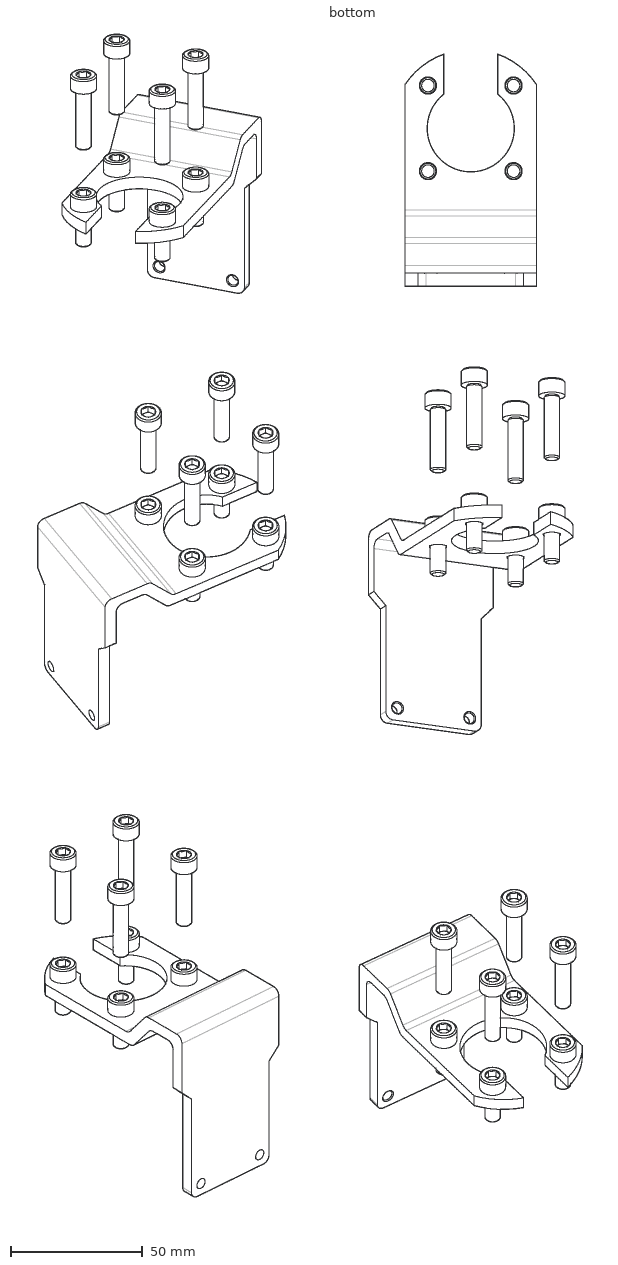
import cadquery as cq
import math

bracket_width = 50.0
thickness = 5.0
bracket_height = 75.0
bend_radius = 3.0

shelf_length = 20.0
step_run = 10.0
step_drop = 12.0
plate_top = bracket_height - step_drop

opening_distance = 60.0
opening_diameter = 33.0
nose_radius = 30.0
slot_width = 20.3

tail_width = 40.0
shoulder_height = 50.0
shoulder_chamfer = (bracket_width - tail_width) / 2
tail_corner_radius = 3.0

mount_hole_diameter = 4.2
mount_hole_mouth = 5.0
mount_hole_mouth_angle = 90
mount_hole_height = 5.0
mount_hole_pitch = 30.2

bolt_circle_radius = 23.0
screw_pitch = bolt_circle_radius * math.sqrt(2)
clearance_diameter = 6.5

head_diameter = 10.0
head_height = 6.0
head_chamfer = 0.6
shank_diameter = 6.0
neck_diameter = 5.0
neck_length = 0.7
tip_chamfer = 0.6
socket_sides = 6
socket_width = 5.0
socket_mouth = 5.7
socket_depth = 3.0
socket_cone_angle = 120
short_shank = 16.0
long_shank = 25.0

fitted_seat = plate_top
overall_height = 119.0
raised_seat = overall_height - head_height

back = opening_distance
front = -nose_radius
screw_points = [
    (x * screw_pitch / 2, y * screw_pitch / 2)
    for x in (-1, 1)
    for y in (-1, 1)
]


def bent_sheet():
    """Constant-thickness strip: vertical wall, shelf, sloping step and clamp plate."""
    shelf_end = back - shelf_length
    step_end = shelf_end - step_run
    corner_shift = thickness * math.tan(math.atan2(step_drop, step_run) / 2)
    under_shelf = bracket_height - thickness
    under_plate = plate_top - thickness
    wall_front = back - thickness
    outer_bends = [
        (back, bracket_height),
        (shelf_end, bracket_height),
        (step_end, plate_top),
    ]
    inner_bends = [
        (step_end + corner_shift, under_plate),
        (shelf_end + corner_shift, under_shelf),
        (wall_front, under_shelf),
    ]
    outline = [
        (back, 0),
        *outer_bends,
        (front, plate_top),
        (front, under_plate),
        *inner_bends,
        (wall_front, 0),
    ]
    sheet = (
        cq.Workplane("YZ")
        .polyline(outline)
        .close()
        .extrude(bracket_width / 2, both=True)
    )
    bend_edges = cq.Workplane("XY")
    for y, z in outer_bends + inner_bends:
        bend_edges.add(sheet.edges(cq.selectors.NearestToPointSelector((0, y, z))).vals())
    return sheet.newObject(bend_edges.vals()).fillet(bend_radius)


def plan_outline():
    """Upright prism that rounds the nose of the clamp plate."""
    half_width = bracket_width / 2
    arc_start = -math.sqrt(nose_radius**2 - half_width**2)
    return (
        cq.Workplane("XY")
        .moveTo(-half_width, back)
        .lineTo(-half_width, arc_start)
        .threePointArc((0, front), (half_width, arc_start))
        .lineTo(half_width, back)
        .close()
        .extrude(bracket_height)
    )


def wall_outline():
    """Prism along Y that narrows the wall to its tail, with rounded lower corners."""
    half_width = bracket_width / 2
    half_tail = tail_width / 2
    tail_top = shoulder_height - shoulder_chamfer
    return (
        cq.Workplane("XZ", origin=(0, back, 0))
        .polyline([
            (-half_tail, 0),
            (-half_tail, tail_top),
            (-half_width, shoulder_height),
            (-half_width, bracket_height),
            (half_width, bracket_height),
            (half_width, shoulder_height),
            (half_tail, tail_top),
            (half_tail, 0),
        ])
        .close()
        .extrude(back - front)
        .edges("|Y and <Z")
        .fillet(tail_corner_radius)
    )


def clamp_cutout():
    """Round opening with a slot that leads out through the nose."""
    opening = cq.Workplane("XY").circle(opening_diameter / 2).extrude(bracket_height)
    slot = (
        cq.Workplane("XY")
        .center(0, front / 2)
        .rect(slot_width, nose_radius)
        .extrude(bracket_height)
    )
    return opening.union(slot)


def make_bracket():
    body = bent_sheet().intersect(plan_outline()).intersect(wall_outline())
    body = body.cut(clamp_cutout())
    clearance_holes = (
        cq.Workplane("XY", origin=(0, 0, plate_top))
        .pushPoints(screw_points)
        .circle(clearance_diameter / 2)
        .extrude(-thickness)
    )
    body = body.cut(clearance_holes)
    hole_offset = mount_hole_pitch / 2
    return (
        cq.Workplane("XZ", origin=(0, back - thickness, 0))
        .add(body)
        .pushPoints([(-hole_offset, mount_hole_height), (hole_offset, mount_hole_height)])
        .cskHole(mount_hole_diameter, mount_hole_mouth, mount_hole_mouth_angle)
    )


def hex_socket():
    """Hexagonal recess with a conical bottom and a chamfered mouth."""
    half_side_angle = 180 / socket_sides
    corner_diameter = socket_width / math.cos(math.radians(half_side_angle))
    floor = head_height - socket_depth
    hexagon = (
        cq.Workplane("XY", origin=(0, 0, floor))
        .polygon(socket_sides, corner_diameter)
        .extrude(socket_depth)
        .rotate((0, 0, 0), (0, 0, 1), half_side_angle)
    )
    cone_radius = socket_width / 2
    cone_depth = cone_radius / math.tan(math.radians(socket_cone_angle / 2))
    cone = cq.Workplane("XY").add(cq.Solid.makeCone(
        0, cone_radius, cone_depth,
        pnt=(0, 0, floor - cone_depth),
    ))
    mouth_radius = socket_mouth / 2
    mouth_depth = mouth_radius - cone_radius
    mouth = cq.Workplane("XY").add(cq.Solid.makeCone(
        cone_radius, mouth_radius, mouth_depth,
        pnt=(0, 0, head_height - mouth_depth),
    ))
    return hexagon.union(cone).union(mouth)


def make_screw(shank_length):
    """Socket head screw whose head sits on Z = 0, shank pointing down."""
    head_radius = head_diameter / 2
    shank_radius = shank_diameter / 2
    neck_radius = neck_diameter / 2
    profile = [
        (0, head_height),
        (head_radius - head_chamfer, head_height),
        (head_radius, head_height - head_chamfer),
        (head_radius, 0),
        (neck_radius, 0),
        (shank_radius, -neck_length),
        (shank_radius, tip_chamfer - shank_length),
        (shank_radius - tip_chamfer, -shank_length),
        (0, -shank_length),
    ]
    body = cq.Workplane("XZ").polyline(profile).close().revolve(360, (0, 0), (0, 1))
    return body.cut(hex_socket())


bracket = make_bracket()
short_screw = make_screw(short_shank)
long_screw = make_screw(long_shank)
fitted_screws = [short_screw.translate((x, y, fitted_seat)).val() for x, y in screw_points]
raised_screws = [long_screw.translate((x, y, raised_seat)).val() for x, y in screw_points]

result = cq.Compound.makeCompound([bracket.val(), *fitted_screws, *raised_screws])